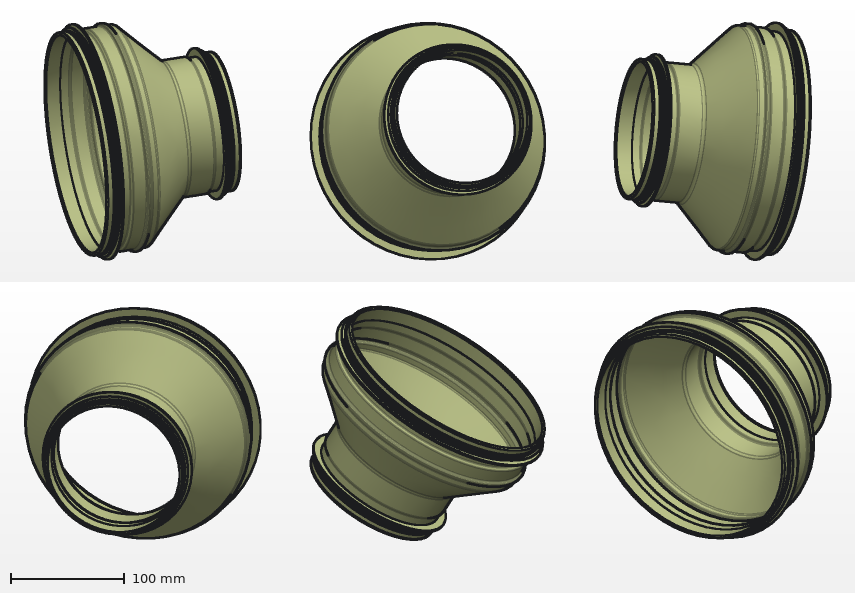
import cadquery as cq
import math


length = 134.0
wall = 0.5
full_turn = 360

wide_r = 198.9 / 2
wide_groove_r = 194.0 / 2
wide_step_start = 22.2
wide_step_end = 24.5
bead_y = 39.4
wide_cone_y = 48.4

narrow_rim_r = 124.1 / 2
narrow_r = 122.3 / 2
narrow_groove_r = 119.3 / 2
narrow_step_start = 23.0
narrow_step_end = 24.3

narrow_cone_y = wide_cone_y + wide_r - narrow_r
cone_shift = wall * math.tan(math.radians(45 / 2))

bead_r = 203.5 / 2
bead_foot = 2.7
bead_crest = 1.5
bead_foot_round = 1.0
bead_crest_round = 1.3

step_round = 1.0
wide_cone_round = 2.3
narrow_cone_round = 4.6

fold_depth = 6.3
fold_outer_round = 1.5
fold_inner_round = 1.0

narrow_lips = [(8.2, 62.8, 0.6), (10.3, 129.4 / 2, 1.0), (13.8, 134.5 / 2, 1.7)]
wide_lips = [(7.1, 99.9, 0.8), (9.5, 204.3 / 2, 0.8), (13.0, 209.4 / 2, 1.3)]


def revolve_outline(corners):
    """Turn a closed outline of (radius, y, corner round) about the Y axis."""
    starts, middles, ends = [], [], []
    for i, (r, y, rounding) in enumerate(corners):
        corner = cq.Vector(r, y)
        before = corners[i - 1]
        after = corners[(i + 1) % len(corners)]
        to_before = (cq.Vector(before[0], before[1]) - corner).normalized()
        to_after = (cq.Vector(after[0], after[1]) - corner).normalized()
        half_angle = to_before.getAngle(to_after) / 2
        tangent = rounding / math.tan(half_angle)
        bulge = rounding / math.sin(half_angle) - rounding
        starts.append(corner + to_before * tangent)
        middles.append(corner + (to_before + to_after).normalized() * bulge)
        ends.append(corner + to_after * tangent)

    outline = cq.Workplane("XY").moveTo(ends[0].x, ends[0].y)
    for i in [*range(1, len(corners)), 0]:
        outline = outline.lineTo(starts[i].x, starts[i].y)
        if corners[i][2] > 0:
            outline = outline.threePointArc(middles[i].toTuple()[:2], ends[i].toTuple()[:2])
    return outline.close().revolve(full_turn, (0, 0, 0), (0, 1, 0))


def shell_side(offset):
    """Corners from groove to groove of the sheet, moved inward by offset (0 or wall)."""
    shift = cone_shift * offset / wall
    crest_half = bead_crest - shift
    foot_half = bead_foot - shift
    tube = wide_r - offset
    crest = bead_r - offset
    return [
        (wide_groove_r - offset, wide_step_start + shift, step_round),
        (tube, wide_step_end + shift, step_round),
        (tube, bead_y - foot_half, bead_foot_round),
        (crest, bead_y - crest_half, bead_crest_round),
        (crest, bead_y + crest_half, bead_crest_round),
        (tube, bead_y + foot_half, bead_foot_round),
        (tube, wide_cone_y - shift, wide_cone_round),
        (narrow_r - offset, narrow_cone_y - shift, narrow_cone_round),
        (narrow_r - offset, length - narrow_step_end - shift, step_round),
        (narrow_groove_r - offset, length - narrow_step_start - shift, step_round),
    ]


def fold(groove_r, rim_r, end_y, inward):
    """Rim corners from the groove, around the fold and back to the bore.

    inward is +1 or -1, the Y direction from the end face into the part.
    """
    tip_y = end_y + inward * fold_outer_round
    edge_y = end_y + inward * fold_depth
    return [
        (groove_r, tip_y, 0),
        (rim_r - wall, tip_y, 0),
        (rim_r - wall, edge_y, 0),
        (rim_r, edge_y, 0),
        (rim_r, end_y, fold_outer_round),
        (groove_r - wall, end_y, fold_inner_round),
    ]


def make_shell():
    wide_fold = fold(wide_groove_r, wide_r, 0, 1)
    narrow_fold = fold(narrow_groove_r, narrow_rim_r, length, -1)
    return revolve_outline(
        shell_side(0) + narrow_fold + shell_side(wall)[::-1] + wide_fold[::-1]
    )


def make_seal(groove_r, rim_r, lips, end_y, inward):
    """Ring clamped under the fold, with lips standing out of its sleeve."""
    sleeve_r = rim_r - wall
    outline = [
        (groove_r, end_y + inward * fold_outer_round, 0),
        (sleeve_r, end_y + inward * fold_outer_round, 0),
    ]
    for start, lip_r, thickness in lips:
        near_y = end_y + inward * start
        far_y = near_y + inward * thickness
        outline += [
            (sleeve_r, near_y, 0),
            (lip_r, near_y, 0),
            (lip_r, far_y, 0),
            (sleeve_r, far_y, 0),
        ]
    outline[-1] = (groove_r, far_y, 0)
    return revolve_outline(outline)


shell = make_shell()
wide_seal = make_seal(wide_groove_r, wide_r, wide_lips, 0, 1)
narrow_seal = make_seal(narrow_groove_r, narrow_rim_r, narrow_lips, length, -1)

result = cq.Compound.makeCompound([shell.val(), wide_seal.val(), narrow_seal.val()])